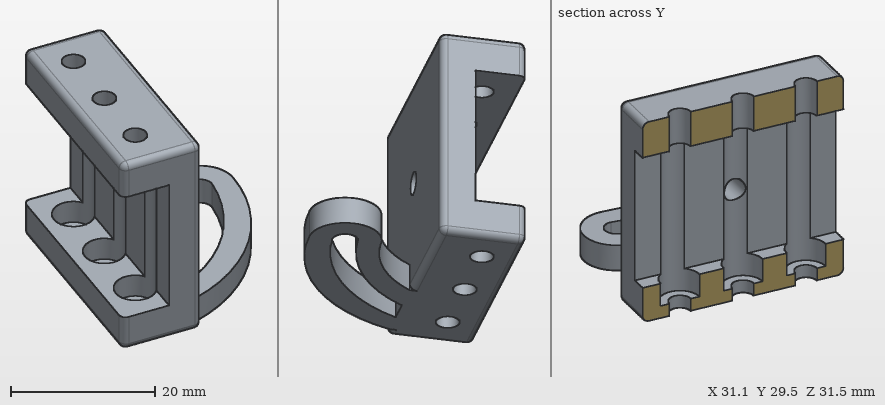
import cadquery as cq

width = 31.15
depth = 12.22
height = 31.5
edge_radius = 1.0

flange_height = 5.5
recess_depth = 7.25

hole_diameter = 3.3
bore_diameter = 6.0
bore_depth = 3.53
hole_pitch = 9.75
hole_y = 4.88
hole_positions = [(width / 2 + i * hole_pitch, hole_y) for i in (-1, 0, 1)]

arm_thickness = 4.0
arm_length = 29.48
arm_end_radius = 5.07
slot_end_radius = 1.8
arm_end_x = width / 2 - hole_pitch
arm_end_y = arm_length - arm_end_radius

arm_outer_x = 29.3
arm_inner_x = 17.65
arm_outer_radius = 24.55
arm_inner_radius = 15.5
slot_outer_x = 25.75
slot_inner_x = 22.18
slot_outer_radius = 23.9
slot_inner_radius = 21.17


def curved_strip(end_radius, outer_x, outer_radius, inner_x, inner_radius):
    """Strip rising from the back face along two arcs to a rounded free end."""
    return (
        cq.Workplane("XY")
        .moveTo(inner_x, depth)
        .radiusArc((arm_end_x, arm_end_y - end_radius), -inner_radius)
        .threePointArc(
            (arm_end_x - end_radius, arm_end_y),
            (arm_end_x, arm_end_y + end_radius),
        )
        .radiusArc((outer_x, depth), outer_radius)
        .close()
        .extrude(arm_thickness)
    )


def make_block():
    """Fully rounded block with a recess across its front."""
    block = cq.Workplane("XY").box(width, depth, height, centered=False).edges().fillet(edge_radius)
    recess_height = height - 2 * flange_height
    recess = (
        cq.Workplane("XY")
        .box(width, recess_depth, recess_height, centered=False)
        .translate((0, 0, flange_height))
    )
    return block.cut(recess)


def make_arm():
    """Slotted arm with a root that fills the rounded lower back edge of the block."""
    arm = curved_strip(arm_end_radius, arm_outer_x, arm_outer_radius, arm_inner_x, arm_inner_radius)
    slot = curved_strip(slot_end_radius, slot_outer_x, slot_outer_radius, slot_inner_x, slot_inner_radius)
    root = (
        cq.Workplane("XY")
        .box(arm_outer_x - arm_inner_x, edge_radius, arm_thickness, centered=False)
        .translate((arm_inner_x, depth - edge_radius, 0))
    )
    return arm.cut(slot).union(root)


def make_bolt_holes():
    """Through holes widened between the flanges and down into the lower flange."""
    holes = cq.Workplane("XY").pushPoints(hole_positions).circle(hole_diameter / 2).extrude(height)
    bores = (
        cq.Workplane("XY")
        .workplane(offset=flange_height - bore_depth)
        .pushPoints(hole_positions)
        .circle(bore_diameter / 2)
        .extrude(height - 2 * flange_height + bore_depth)
    )
    return holes.union(bores)


def make_wall_hole():
    """Horizontal hole through the middle of the back wall."""
    return (
        cq.Workplane("XZ")
        .center(width / 2, height / 2)
        .circle(hole_diameter / 2)
        .extrude(-depth)
    )


result = make_block().union(make_arm()).cut(make_bolt_holes()).cut(make_wall_hole())